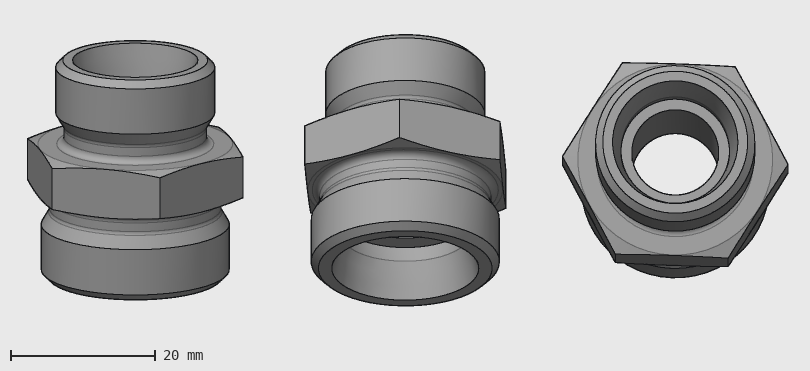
import math
import cadquery as cq

TOTAL_LENGTH = 31.0
THROUGH_BORE = 12.0

HEX_SIDES = 6
HEX_WIDTH = 27.0
HEX_BOTTOM = 12.0
HEX_TOP = 19.0
HEX_CHAMFER_CIRCLE = 26.9
HEX_CHAMFER_ANGLE = math.radians(15)
HEX_ENVELOPE_MARGIN = 1.0

END_CHAMFER = 1.0
GROOVE_WIDTH = 4.5
GROOVE_ROOT_RADIUS = 1.0
GROOVE_FLANK_ANGLE = math.radians(30)
SEAT_HALF_ANGLE = math.radians(12)

UPPER_THREAD = 22.0
UPPER_GROOVE = 19.7
UPPER_TUBE = 15.0
UPPER_SEAT_MOUTH = 17.3
UPPER_SOCKET_DEPTH = 7.0

LOWER_THREAD = 26.0
LOWER_GROOVE = 23.7
LOWER_TUBE = 18.0
LOWER_SEAT_MOUTH = 20.3
LOWER_SOCKET_DEPTH = 7.5


def revolve_profile(profile):
    """Revolve a closed radius-height outline about the Z axis."""
    return profile.close().revolve(360, (0, 0, 0), (0, 1, 0))


def hexagon_collar():
    """Hexagon with corners at +Y and -Y, its corners turned down by a cone at both faces."""
    corner_diameter = HEX_WIDTH / math.cos(math.pi / HEX_SIDES)
    prism = (
        cq.Workplane("XY")
        .workplane(offset=HEX_BOTTOM)
        .polygon(HEX_SIDES, corner_diameter)
        .extrude(HEX_TOP - HEX_BOTTOM)
        .rotate((0, 0, 0), (0, 0, 1), 180 / HEX_SIDES)
    )
    face_radius = HEX_CHAMFER_CIRCLE / 2
    outer_radius = corner_diameter / 2 + HEX_ENVELOPE_MARGIN
    drop = (outer_radius - face_radius) * math.tan(HEX_CHAMFER_ANGLE)
    envelope = revolve_profile(
        cq.Workplane("XZ")
        .moveTo(0, HEX_BOTTOM)
        .lineTo(face_radius, HEX_BOTTOM)
        .lineTo(outer_radius, HEX_BOTTOM + drop)
        .lineTo(outer_radius, HEX_TOP - drop)
        .lineTo(face_radius, HEX_TOP)
        .lineTo(0, HEX_TOP)
    )
    return prism.intersect(envelope)


def threaded_end(length, thread_diameter, groove_diameter):
    """Spigot rising from Z = 0: rounded undercut, sloped flank, thread cylinder, end chamfer."""
    thread_radius = thread_diameter / 2
    groove_radius = groove_diameter / 2
    root = GROOVE_ROOT_RADIUS
    flank_length = (thread_radius - groove_radius) / math.tan(GROOVE_FLANK_ANGLE)
    flank_start = GROOVE_WIDTH - flank_length

    arc_start = flank_start - root * math.tan(GROOVE_FLANK_ANGLE / 2)

    def flank_arc_point(angle):
        """Radius and height where the root arc has turned by this angle from the groove floor."""
        radius = groove_radius + root * (1 - math.cos(angle))
        return radius, arc_start + root * math.sin(angle)

    face_arc_middle = root * (1 - math.sin(math.pi / 4))
    return revolve_profile(
        cq.Workplane("XZ")
        .moveTo(0, 0)
        .lineTo(groove_radius + root, 0)
        .threePointArc((groove_radius + face_arc_middle, face_arc_middle), (groove_radius, root))
        .lineTo(groove_radius, arc_start)
        .threePointArc(flank_arc_point(GROOVE_FLANK_ANGLE / 2), flank_arc_point(GROOVE_FLANK_ANGLE))
        .lineTo(thread_radius, GROOVE_WIDTH)
        .lineTo(thread_radius, length - END_CHAMFER)
        .lineTo(thread_radius - END_CHAMFER, length)
        .lineTo(0, length)
    )


def tube_socket(length, tube_diameter, mouth_diameter, depth):
    """Cutter for the tube socket and its conical seat, opening at Z = length."""
    tube_radius = tube_diameter / 2
    mouth_radius = mouth_diameter / 2
    seat_depth = (mouth_radius - tube_radius) / math.tan(SEAT_HALF_ANGLE)
    return revolve_profile(
        cq.Workplane("XZ")
        .moveTo(0, length - depth)
        .lineTo(tube_radius, length - depth)
        .lineTo(tube_radius, length - seat_depth)
        .lineTo(mouth_radius, length)
        .lineTo(0, length)
    )


def place_upper(shape):
    """Stand a shape built from Z = 0 on the upper hexagon face."""
    return shape.translate((0, 0, HEX_TOP))


def place_lower(shape):
    """Hang a shape built from Z = 0 below the lower hexagon face."""
    return shape.mirror("XY").translate((0, 0, HEX_BOTTOM))


upper_length = TOTAL_LENGTH - HEX_TOP
lower_length = HEX_BOTTOM

body = (
    hexagon_collar()
    .union(place_upper(threaded_end(upper_length, UPPER_THREAD, UPPER_GROOVE)))
    .union(place_lower(threaded_end(lower_length, LOWER_THREAD, LOWER_GROOVE)))
)
bore = cq.Workplane("XY").circle(THROUGH_BORE / 2).extrude(TOTAL_LENGTH)

result = (
    body.cut(bore)
    .cut(place_upper(tube_socket(upper_length, UPPER_TUBE, UPPER_SEAT_MOUTH, UPPER_SOCKET_DEPTH)))
    .cut(place_lower(tube_socket(lower_length, LOWER_TUBE, LOWER_SEAT_MOUTH, LOWER_SOCKET_DEPTH)))
)